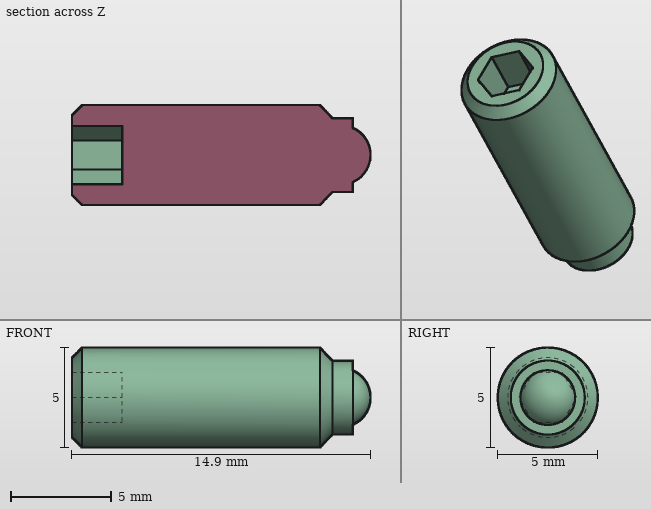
import math

import cadquery as cq

total_length = 14.9
body_diameter = 5.0
drive_chamfer = 0.5
collar_diameter = 3.7
collar_start = 13.0
collar_end = 14.0
nose_cone_length = 0.63
ball_diameter = 2.98
hex_across_flats = 2.5
hex_depth = 2.5

body_radius = body_diameter / 2
collar_radius = collar_diameter / 2
ball_radius = ball_diameter / 2


def make_screw():
    """Revolve the chamfered body, collar and protruding ball around X."""
    ball_center = total_length - ball_radius
    ball_edge_radius = math.sqrt(ball_radius**2 - (collar_end - ball_center) ** 2)
    arc_middle_angle = math.asin(ball_edge_radius / ball_radius) / 2
    arc_middle = (
        ball_center + ball_radius * math.cos(arc_middle_angle),
        ball_radius * math.sin(arc_middle_angle),
    )
    return (
        cq.Workplane("XY")
        .lineTo(0, body_radius - drive_chamfer)
        .lineTo(drive_chamfer, body_radius)
        .lineTo(collar_start - nose_cone_length, body_radius)
        .lineTo(collar_start, collar_radius)
        .lineTo(collar_end, collar_radius)
        .lineTo(collar_end, ball_edge_radius)
        .threePointArc(arc_middle, (total_length, 0))
        .close()
        .revolve(360, (0, 0, 0), (1, 0, 0))
    )


def make_hex_socket():
    """Hexagonal drive socket with two opposite corners along Y."""
    across_corners = hex_across_flats / math.cos(math.radians(30))
    return cq.Workplane("YZ").polygon(6, across_corners).extrude(hex_depth)


result = make_screw().cut(make_hex_socket())